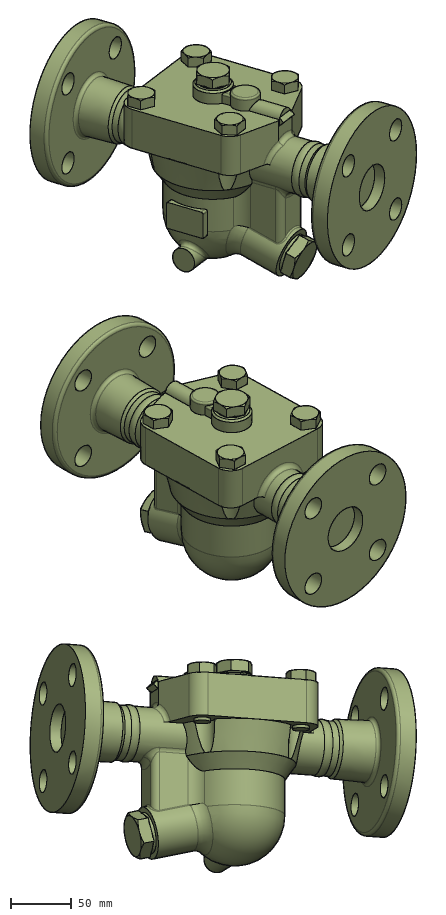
import cadquery as cq
import math

LENGTH = 290.0
FLANGE_DIAMETER = 140.0
FLANGE_THICKNESS = 16.8
FLANGE_EDGE_ROUND = 3.0
FLANGE_HOLE_DIAMETER = 19.0
FLANGE_HOLE_OFFSET = 37.0
BORE_DIAMETER = 40.0
BORE_DEPTH = 10.0
PIPE_RADIUS = 46.0 / 2
HUB_FILLET = 3.2
HUB_ROOT_RADIUS = 25.8
HUB_END_RADIUS = 25.0
HUB_END_X = 96.5
PIPE_START_X = 94.0
BEAD_OUTER_X = 88.2
BEAD_INNER_X = 81.0
BEAD_HEIGHT = 1.0

BODY_X = -10.0
BOLT_OFFSET = 43.2
CORNER_RADIUS = 14.2
NOSE_X = 60.3
NOSE_ANGLE = 20.0
JOINT_BOTTOM_Z = 7.0
COVER_TOP_Z = 43.5
PIPE_FILLET = 4.4
PLATE_LEFT_X = BODY_X - BOLT_OFFSET - CORNER_RADIUS

BOLT_FLATS = 22.0
BOLT_HEAD_HEIGHT = 9.3
BOLT_END_DIAMETER = 14.0
BOLT_END_LENGTH = 2.5
BOLT_RELIEF_DIAMETER = 21.0
HEX_CHAMFER_ANGLE = 30.0
HEX_HALF_STEP = 360 / 12

PLUG_BOSS_DIAMETER = 33.5
BOSS_HEIGHT = 12.0
BOSS_ROUND = 1.7
PLUG_NECK_DIAMETER = 25.0
PLUG_FLATS = 27.0
PLUG_HEAD_BOTTOM_Z = 57.0
PLUG_HEAD_HEIGHT = 9.5
PIN_BOSS_X = 21.5
PIN_BOSS_DIAMETER = 25.0
LINK_WIDTH = 17.7
LINK_HEIGHT = 9.3
RIB_RADIUS = 8.7
RIB_TOP_Z = 50.5
RIB_TIP_LENGTH = 3.8

BOWL_RADIUS = 41.8
BOWL_CENTRE_Z = -63.0
BOWL_STEP_Z = -32.5
RIM_RADIUS = 51.0
RIM_BOTTOM_Z = -19.5
RIM_TOP_RADIUS = 57.0

ARM_ANGLE = 15.0
ARM_RADIUS = 44.0 / 2
ARM_LENGTH = 79.0
ARM_FILLET = 14.5
CAP_NECK_DIAMETER = 34.8
CAP_FLATS = 34.8
CAP_START = 81.8
CAP_END = 92.5

BLOCK_HALF_WIDTH = 17.0
BLOCK_END_X = 67.5
BLOCK_END_ROUND = 5.8
BLOCK_BOWL_FILLET = 15.0
BLOCK_BOTTOM_Z = -71.0
BLOCK_MID_Z = -40.5
BLOCK_PIPE_FILLET = 5.8
BLOCK_ARM_FILLET = 1.5

PAD_WIDTH = 35.7
PAD_HEIGHT = 24.5
PAD_TOP_Z = -42.0
PAD_FRONT_Y = -44.7
PAD_CORNER_RADIUS = 1.7
DRAIN_DIAMETER = 21.5
DRAIN_Z = -90.8
DRAIN_FRONT_Y = -46.5
DRAIN_FILLET = 3.5

SELECT_MARGIN = 0.5

BOLT_CENTRES = [
    (BODY_X + x_side * BOLT_OFFSET, y_side * BOLT_OFFSET)
    for x_side in (-1, 1)
    for y_side in (-1, 1)
]


def disc(x, y, bottom, top, diameter):
    """Upright cylinder between two heights."""
    return cq.Workplane("XY", origin=(x, y, bottom)).circle(diameter / 2).extrude(top - bottom)


def hex_head(flats, height, corner_angle):
    """Hexagon standing on Z = 0, its top corners turned off to a circle across the flats."""
    corner_radius = flats / math.sqrt(3)
    drop = (corner_radius - flats / 2) * math.tan(math.radians(HEX_CHAMFER_ANGLE))
    prism = cq.Workplane("XY").polygon(6, 2 * corner_radius).extrude(height)
    turned = (
        cq.Workplane("XZ")
        .moveTo(0, 0)
        .lineTo(corner_radius, 0)
        .lineTo(corner_radius, height - drop)
        .lineTo(flats / 2, height)
        .lineTo(0, height)
        .close()
        .revolve(360, (0, 0, 0), (0, 1, 0))
    )
    return prism.intersect(turned).rotate((0, 0, 0), (0, 0, 1), corner_angle)


def half_pipe():
    """Flange, hub, bead and pipe on the +X side as one turned profile."""
    flange_back = LENGTH / 2 - FLANGE_THICKNESS
    flange_radius = FLANGE_DIAMETER / 2
    slant = math.sqrt(0.5)
    edge_mid = FLANGE_EDGE_ROUND * (1 - slant)
    hub_mid = HUB_FILLET * (1 - slant)
    return (
        cq.Workplane("XY")
        .moveTo(0, 0)
        .lineTo(LENGTH / 2, 0)
        .lineTo(LENGTH / 2, flange_radius)
        .lineTo(flange_back + FLANGE_EDGE_ROUND, flange_radius)
        .threePointArc(
            (flange_back + edge_mid, flange_radius - edge_mid),
            (flange_back, flange_radius - FLANGE_EDGE_ROUND),
        )
        .lineTo(flange_back, HUB_ROOT_RADIUS + HUB_FILLET)
        .threePointArc(
            (flange_back - hub_mid, HUB_ROOT_RADIUS + hub_mid),
            (flange_back - HUB_FILLET, HUB_ROOT_RADIUS),
        )
        .lineTo(HUB_END_X, HUB_END_RADIUS)
        .lineTo(PIPE_START_X, PIPE_RADIUS)
        .lineTo(BEAD_OUTER_X, PIPE_RADIUS)
        .threePointArc(
            ((BEAD_OUTER_X + BEAD_INNER_X) / 2, PIPE_RADIUS + BEAD_HEIGHT),
            (BEAD_INNER_X, PIPE_RADIUS),
        )
        .lineTo(0, PIPE_RADIUS)
        .close()
        .revolve(360, (0, 0, 0), (1, 0, 0))
    )


def cut_flange_holes(body):
    """Bolt holes and the shallow round recess in each end flange."""
    holes = (
        cq.Workplane("YZ", origin=(-LENGTH / 2, 0, 0))
        .rect(2 * FLANGE_HOLE_OFFSET, 2 * FLANGE_HOLE_OFFSET, forConstruction=True)
        .vertices()
        .circle(FLANGE_HOLE_DIAMETER / 2)
        .extrude(FLANGE_THICKNESS)
    )
    recess = cq.Workplane("YZ", origin=(-LENGTH / 2, 0, 0)).circle(BORE_DIAMETER / 2).extrude(BORE_DEPTH)
    cutter = holes.union(recess)
    return body.cut(cutter).cut(cutter.mirror("YZ"))


def joint_plate(bottom, top):
    """Plate with three straight sides and a tapered nose on +X."""
    normal_x = math.cos(math.radians(NOSE_ANGLE))
    normal_y = math.sin(math.radians(NOSE_ANGLE))
    bisector = math.radians((90 + NOSE_ANGLE) / 2)
    right_centre = BODY_X + BOLT_OFFSET
    half_width = BOLT_OFFSET + CORNER_RADIUS
    tangent = (right_centre + CORNER_RADIUS * normal_x, BOLT_OFFSET + CORNER_RADIUS * normal_y)
    arc_mid = (
        right_centre + CORNER_RADIUS * math.cos(bisector),
        BOLT_OFFSET + CORNER_RADIUS * math.sin(bisector),
    )
    nose_half_width = tangent[1] - (NOSE_X - tangent[0]) * normal_x / normal_y
    plate = (
        cq.Workplane("XY", origin=(0, 0, bottom))
        .moveTo(PLATE_LEFT_X, half_width)
        .lineTo(right_centre, half_width)
        .threePointArc(arc_mid, tangent)
        .lineTo(NOSE_X, nose_half_width)
        .lineTo(NOSE_X, -nose_half_width)
        .lineTo(tangent[0], -tangent[1])
        .threePointArc((arc_mid[0], -arc_mid[1]), (right_centre, -half_width))
        .lineTo(PLATE_LEFT_X, -half_width)
        .close()
        .extrude(top - bottom)
    )
    return plate.edges("|Z and <X").fillet(CORNER_RADIUS)


def piped_plate():
    """Cover joint and pipe run, blended where the pipe enters the joint."""
    pipe = half_pipe()
    body = joint_plate(JOINT_BOTTOM_Z, COVER_TOP_Z).union(pipe).union(pipe.mirror("YZ"))
    reach = PIPE_RADIUS + SELECT_MARGIN
    left_edges = cq.selectors.BoxSelector(
        (PLATE_LEFT_X - SELECT_MARGIN, -reach, JOINT_BOTTOM_Z + SELECT_MARGIN),
        (PLATE_LEFT_X + SELECT_MARGIN, reach, reach),
    )
    nose_edges = cq.selectors.BoxSelector(
        (BODY_X + BOLT_OFFSET + CORNER_RADIUS, -reach, JOINT_BOTTOM_Z + SELECT_MARGIN),
        (NOSE_X + SELECT_MARGIN, reach, reach),
    )
    body = body.edges(left_edges).fillet(PIPE_FILLET)
    return body.edges(nose_edges).fillet(PIPE_FILLET)


def bowl():
    """Tapered rim, shoulder, straight wall and half-round bottom turned about the body axis."""
    return (
        cq.Workplane("XZ", origin=(BODY_X, 0, 0))
        .moveTo(0, JOINT_BOTTOM_Z)
        .lineTo(RIM_TOP_RADIUS, JOINT_BOTTOM_Z)
        .lineTo(RIM_RADIUS, RIM_BOTTOM_Z)
        .lineTo(BOWL_RADIUS, BOWL_STEP_Z)
        .lineTo(BOWL_RADIUS, BOWL_CENTRE_Z)
        .threePointArc(
            (BOWL_RADIUS * math.sqrt(0.5), BOWL_CENTRE_Z - BOWL_RADIUS * math.sqrt(0.5)),
            (0, BOWL_CENTRE_Z - BOWL_RADIUS),
        )
        .close()
        .revolve(360, (0, 0, 0), (0, 1, 0))
    )


def flared_bar(radius, fillet, length):
    """Round bar along +Z from the bowl centre, flared to blend into the bowl sphere."""
    fillet_r = radius + fillet
    fillet_z = math.sqrt((BOWL_RADIUS + fillet) ** 2 - fillet_r**2)
    ratio = BOWL_RADIUS / (BOWL_RADIUS + fillet)
    touch = (fillet_r * ratio, fillet_z * ratio)
    mid_angle = (math.pi + math.atan2(-fillet_z, -fillet_r) + 2 * math.pi) / 2
    middle = (
        fillet_r + fillet * math.cos(mid_angle),
        fillet_z + fillet * math.sin(mid_angle),
    )
    return (
        cq.Workplane("XZ")
        .moveTo(0, 0)
        .lineTo(*touch)
        .threePointArc(middle, (radius, fillet_z))
        .lineTo(radius, length)
        .lineTo(0, length)
        .close()
        .revolve(360, (0, 0, 0), (0, 1, 0))
    )


def place_on_arm(part):
    """Move a part standing on Z = 0 onto the sloping arm axis at the bowl centre."""
    return part.rotate((0, 0, 0), (0, 1, 0), 90 + ARM_ANGLE).translate((BODY_X, 0, BOWL_CENTRE_Z))


def strainer_arm():
    """Flared arm with its hexagon cap."""
    arm = flared_bar(ARM_RADIUS, ARM_FILLET, ARM_LENGTH)
    neck = disc(0, 0, 0, CAP_START, CAP_NECK_DIAMETER)
    cap = hex_head(CAP_FLATS, CAP_END - CAP_START, 0).translate((0, 0, CAP_START))
    return place_on_arm(arm.union(neck).union(cap))


def passage_block():
    """Upright block under the +X pipe, blended into the pipe, the bowl wall and the arm."""
    fillet_y = BLOCK_HALF_WIDTH + BLOCK_BOWL_FILLET
    fillet_x = math.sqrt((BOWL_RADIUS + BLOCK_BOWL_FILLET) ** 2 - fillet_y**2)
    ratio = BOWL_RADIUS / (BOWL_RADIUS + BLOCK_BOWL_FILLET)
    touch_x = BODY_X + fillet_x * ratio
    touch_y = fillet_y * ratio
    mid_angle = (math.atan2(-fillet_y, -fillet_x) - math.pi / 2) / 2
    mid_x = BODY_X + fillet_x + BLOCK_BOWL_FILLET * math.cos(mid_angle)
    mid_y = fillet_y + BLOCK_BOWL_FILLET * math.sin(mid_angle)
    face_x = BODY_X + fillet_x
    root = (
        cq.Workplane("XY", origin=(0, 0, BLOCK_BOTTOM_Z))
        .moveTo(BODY_X, 0)
        .lineTo(touch_x, touch_y)
        .threePointArc((mid_x, mid_y), (face_x, BLOCK_HALF_WIDTH))
        .lineTo(face_x, -BLOCK_HALF_WIDTH)
        .threePointArc((mid_x, -mid_y), (touch_x, -touch_y))
        .close()
        .extrude(-BLOCK_BOTTOM_Z)
    )
    block = (
        cq.Workplane("XY", origin=(0, 0, BLOCK_BOTTOM_Z))
        .moveTo(BODY_X, -BLOCK_HALF_WIDTH)
        .lineTo(BLOCK_END_X, -BLOCK_HALF_WIDTH)
        .lineTo(BLOCK_END_X, BLOCK_HALF_WIDTH)
        .lineTo(BODY_X, BLOCK_HALF_WIDTH)
        .close()
        .extrude(-BLOCK_BOTTOM_Z)
        .edges("|Z and >X")
        .fillet(BLOCK_END_ROUND)
    )
    pipe = cq.Workplane("YZ", origin=(BODY_X, 0, 0)).circle(PIPE_RADIUS).extrude(BEAD_INNER_X - BODY_X)
    pipe_edges = cq.selectors.BoxSelector(
        (BODY_X + SELECT_MARGIN, -BLOCK_HALF_WIDTH - SELECT_MARGIN, -PIPE_RADIUS - SELECT_MARGIN),
        (BLOCK_END_X + SELECT_MARGIN, BLOCK_HALF_WIDTH + SELECT_MARGIN, -SELECT_MARGIN),
    )
    block = block.union(pipe).edges(pipe_edges).fillet(BLOCK_PIPE_FILLET)
    arm = place_on_arm(disc(0, 0, 0, ARM_LENGTH, 2 * ARM_RADIUS))
    arm_edges = cq.selectors.BoxSelector(
        (touch_x, -BLOCK_HALF_WIDTH - SELECT_MARGIN, BLOCK_BOTTOM_Z + SELECT_MARGIN),
        (BLOCK_END_X + SELECT_MARGIN, BLOCK_HALF_WIDTH + SELECT_MARGIN, BLOCK_MID_Z),
    )
    return block.union(arm).edges(arm_edges).fillet(BLOCK_ARM_FILLET).union(root)


def round_drain_root(body):
    """Blend the drain boss into the bowl."""
    reach = DRAIN_DIAMETER / 2 + SELECT_MARGIN
    root_edges = cq.selectors.BoxSelector(
        (BODY_X - reach, DRAIN_FRONT_Y + DRAIN_FILLET, DRAIN_Z - reach),
        (BODY_X + reach, 0, DRAIN_Z + reach),
    )
    return body.edges(root_edges).fillet(DRAIN_FILLET)


def name_pad():
    """Raised pad with rounded upper corners."""
    pad = (
        cq.Workplane("XZ")
        .center(BODY_X, PAD_TOP_Z - PAD_HEIGHT / 2)
        .rect(PAD_WIDTH, PAD_HEIGHT)
        .extrude(-PAD_FRONT_Y)
    )
    return pad.edges("|Y and >Z").fillet(PAD_CORNER_RADIUS)


def drain_boss():
    """Short round boss facing -Y, low on the bowl."""
    return (
        cq.Workplane("XZ", origin=(BODY_X, 0, DRAIN_Z))
        .circle(DRAIN_DIAMETER / 2)
        .extrude(-DRAIN_FRONT_Y)
    )


def cover_bosses():
    """Plug boss with its hexagon plug, pin boss, link and rib on top of the cover."""
    boss_top = COVER_TOP_Z + BOSS_HEIGHT
    plug_boss = disc(BODY_X, 0, COVER_TOP_Z, boss_top, PLUG_BOSS_DIAMETER).faces(">Z").chamfer(BOSS_ROUND)
    pin_boss = disc(PIN_BOSS_X, 0, COVER_TOP_Z, boss_top, PIN_BOSS_DIAMETER).faces(">Z").fillet(BOSS_ROUND)
    neck = disc(BODY_X, 0, COVER_TOP_Z, PLUG_HEAD_BOTTOM_Z, PLUG_NECK_DIAMETER)
    plug = hex_head(PLUG_FLATS, PLUG_HEAD_HEIGHT, 0).translate((BODY_X, 0, PLUG_HEAD_BOTTOM_Z))
    link_length = PIN_BOSS_X - BODY_X
    link = cq.Workplane("XY", origin=(BODY_X + link_length / 2, 0, COVER_TOP_Z)).box(
        link_length, LINK_WIDTH, LINK_HEIGHT, centered=(True, True, False)
    )
    link = link.edges("|X and >Z").fillet(BOSS_ROUND)
    rib_z = RIB_TOP_Z - RIB_RADIUS
    rib = (
        cq.Workplane("YZ", origin=(PIN_BOSS_X, 0, rib_z)).circle(RIB_RADIUS).extrude(NOSE_X - PIN_BOSS_X)
    )
    tip = (
        cq.Workplane("XZ", origin=(0, RIB_RADIUS, rib_z))
        .polyline([(NOSE_X, RIB_TIP_LENGTH), (NOSE_X + RIB_TIP_LENGTH, 0), (NOSE_X, -RIB_TIP_LENGTH)])
        .close()
        .extrude(2 * RIB_RADIUS)
    )
    return plug_boss.union(pin_boss).union(neck).union(plug).union(link).union(rib).union(tip)


shell = bowl()
for x, y in BOLT_CENTRES:
    shell = shell.cut(disc(x, y, RIM_BOTTOM_Z, JOINT_BOTTOM_Z, BOLT_RELIEF_DIAMETER))

result = piped_plate().union(shell).union(passage_block())
result = round_drain_root(result.union(drain_boss()))
result = result.union(strainer_arm()).union(name_pad()).union(cover_bosses())

for x, y in BOLT_CENTRES:
    corner_angle = 0 if (x - BODY_X) * y > 0 else HEX_HALF_STEP
    head = hex_head(BOLT_FLATS, BOLT_HEAD_HEIGHT, corner_angle).translate((x, y, COVER_TOP_Z))
    end = disc(x, y, JOINT_BOTTOM_Z - BOLT_END_LENGTH, COVER_TOP_Z, BOLT_END_DIAMETER)
    result = result.union(head).union(end)

result = cut_flange_holes(result)